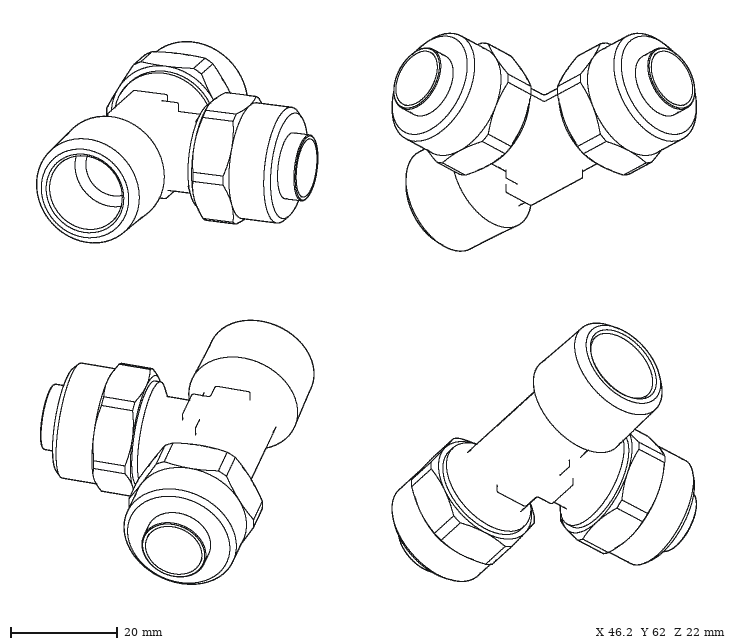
import cadquery as cq
import math


pipe_radius = 7.5
bore_radius = 5.5
pipe_cone_angle = 30
shoulder_fillet = 0.5
crotch_fillet = 0.3
pillar_bevel = 0.6

collar_radius = 10.0
collar_start = 13.9
nut_start = 15.0
hex_length = 7.5
hex_across_flats = 22.0
hex_corner_radius = 12.2
hex_chamfer_angle = 30
cap_radius = hex_across_flats / 2
cap_end = 30.5
cap_chamfer = 1.0
sleeve_radius = 6.25
sleeve_end = 34.0
sleeve_chamfer = 0.2

overall_length = 62
thread_end = overall_length - sleeve_end
thread_start = 14.0
thread_back_radius = 10.65
thread_tip_radius = 10.35
thread_chamfer = 1.55
socket_radius = 7.3
socket_chamfer = 0.5
socket_depth = 14.0
socket_floor_angle = 30

pad_half_width = 3.5
pad_half_length = 7.0
pad_height = 8.5
pad_corner_fillet = 0.5
pad_edge_fillet = 0.2
pad_base_fillet = 0.2

margin = 0.05


def cone_run(outer, inner, angle):
    """Axial length of a cone between two radii, sloped by angle from the face plane."""
    return (outer - inner) * math.tan(math.radians(angle))


def revolve_arm(profile):
    """Solid of revolution about +Y from (radius, station) points, closed along the axis."""
    points = [(0, profile[0][1])] + profile + [(0, profile[-1][1])]
    return cq.Workplane("XY").polyline(points).close().revolve(360, (0, 0, 0), (0, 1, 0))


def box_selector(low_corner, high_corner):
    """Pick edges lying wholly inside a box, with a small margin all around."""
    low = tuple(value - margin for value in low_corner)
    high = tuple(value + margin for value in high_corner)
    return cq.selectors.BoxSelector(low, high, boundingbox=True)


def shoulder_selector(station):
    """Pick the circle where the pipe meets a flared shoulder on the Y axis."""
    reach = pipe_radius
    return box_selector((-reach, station, -reach), (reach, station, reach))


def make_hexagon():
    """Hexagon with flats on +Z and -Z and both ends chamfered by a cone."""
    run = cone_run(hex_corner_radius, cap_radius, hex_chamfer_angle)
    nut_end = nut_start + hex_length
    turned = revolve_arm([
        (cap_radius, nut_start),
        (hex_corner_radius, nut_start + run),
        (hex_corner_radius, nut_end - run),
        (cap_radius, nut_end),
    ])
    corner_diameter = hex_across_flats / math.cos(math.pi / 6)
    prism = (
        cq.Workplane("XZ", origin=(0, nut_start, 0))
        .polygon(6, corner_diameter)
        .extrude(-hex_length)
    )
    return prism.intersect(turned)


def make_nut_arm():
    """Pipe, flared collar, hexagon nut, cap and sleeve along +Y."""
    cone_start = collar_start - cone_run(collar_radius, pipe_radius, pipe_cone_angle)
    neck = revolve_arm([
        (pipe_radius, 0),
        (pipe_radius, cone_start),
        (collar_radius, collar_start),
        (collar_radius, nut_start),
    ]).edges(shoulder_selector(cone_start)).fillet(shoulder_fillet)
    cap = revolve_arm([
        (cap_radius, nut_start + hex_length),
        (cap_radius, cap_end - cap_chamfer),
        (cap_radius - cap_chamfer, cap_end),
        (sleeve_radius, cap_end),
        (sleeve_radius, sleeve_end - sleeve_chamfer),
        (sleeve_radius - sleeve_chamfer, sleeve_end),
    ])
    return neck.union(make_hexagon()).union(cap)


def make_threaded_arm():
    """Pipe, flared shoulder and tapered thread envelope along -Y."""
    cone_start = thread_start - cone_run(thread_back_radius, pipe_radius, pipe_cone_angle)
    return revolve_arm([
        (pipe_radius, 0),
        (pipe_radius, -cone_start),
        (thread_back_radius, -thread_start),
        (thread_tip_radius, -(thread_end - thread_chamfer)),
        (thread_tip_radius - thread_chamfer, -thread_end),
    ]).edges(shoulder_selector(-cone_start)).fillet(shoulder_fillet)


def make_pads():
    """T-shaped block through the body whose two faces form the top and bottom pads."""
    outline = [
        (-pad_half_width, -pad_half_length),
        (pad_half_width, -pad_half_length),
        (pad_half_width, -pad_half_width),
        (pad_half_length, -pad_half_width),
        (pad_half_length, pad_half_width),
        (pad_half_width, pad_half_width),
        (pad_half_width, pad_half_length),
        (-pad_half_width, pad_half_length),
    ]
    block = cq.Workplane("XY").polyline(outline).close().extrude(pad_height, both=True)
    block = block.edges("|Z").fillet(pad_corner_fillet)
    return block.faces("<Z or >Z").edges().fillet(pad_edge_fillet)


def make_bores():
    """Straight bores in all three arms and the stepped socket in the threaded arm."""
    floor_run = cone_run(socket_radius, bore_radius, socket_floor_angle)
    main_bore = revolve_arm([
        (socket_radius + socket_chamfer, -thread_end),
        (socket_radius, -(thread_end - socket_chamfer)),
        (socket_radius, -(thread_end - socket_depth)),
        (bore_radius, -(thread_end - socket_depth - floor_run)),
        (bore_radius, sleeve_end),
    ])
    branch_bore = cq.Workplane("YZ").circle(bore_radius).extrude(sleeve_end)
    return main_bore.union(branch_bore)


def fillet_crotches(body):
    """Round the creases where the +X pipe meets the main pipe.

    The creases fade out where they near the pads, so a pillar blocks them there.
    Its beveled corners square off each crease end and stay inside the pads.
    """
    pillar_width = 2 * pad_half_width
    pillar = (
        cq.Workplane("XY")
        .rect(pillar_width, pillar_width)
        .extrude(pad_height - pad_edge_fillet, both=True)
        .edges(">X and |Z")
        .chamfer(pillar_bevel)
    )
    near = pad_half_width - pillar_bevel
    far = pipe_radius
    creases = box_selector((near, -far, -far), (far, far, far))
    return body.union(pillar).edges(creases).edges("%ELLIPSE").fillet(crotch_fillet)


def fillet_pad_bases(body):
    """Round the foot of both pads where they stand on the pipes."""
    reach = pad_half_length
    low = math.sqrt(pipe_radius**2 - pad_half_width**2)
    high = pipe_radius
    top_foot = box_selector((-reach, -reach, low), (reach, reach, high))
    bottom_foot = box_selector((-reach, -reach, -high), (reach, reach, -low))
    return body.edges(top_foot + bottom_foot).fillet(pad_base_fillet)


nut_arm = make_nut_arm()
branch_arm = nut_arm.rotate((0, 0, 0), (0, 0, 1), -90)
body = nut_arm.union(branch_arm).union(make_threaded_arm())
body = fillet_crotches(body).union(make_pads())
body = fillet_pad_bases(body)

result = body.cut(make_bores())